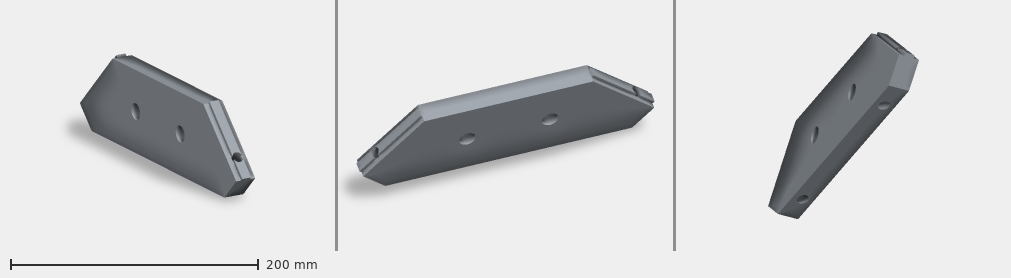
import cadquery as cq
import math

overall_length = 249.2
thickness = 18.0
plate_height = 70.3
slope_run = 51.5
ridge_offset = 1.7
ridge_width = 8.5

main_hole_diameter = 14.0
main_hole_spacing = 69.8
slope_hole_diameter = 9.0
slope_hole_distance = 20.0

half_length = overall_length / 2 - ridge_offset
tip_height = plate_height - slope_run
bottom_half = half_length - tip_height
top_half = half_length - slope_run


def make_plate():
    outline = [
        (-bottom_half, 0),
        (bottom_half, 0),
        (half_length, tip_height),
        (top_half, plate_height),
        (-top_half, plate_height),
        (-half_length, tip_height),
    ]
    return cq.Workplane("XZ").polyline(outline).close().extrude(thickness / 2, both=True)


def make_ridge(side):
    """Raised strip along the whole slope, centred in the thickness."""
    outline = [
        (side * half_length, tip_height),
        (side * (half_length + ridge_offset), tip_height + ridge_offset),
        (side * (top_half + ridge_offset), plate_height + ridge_offset),
        (side * top_half, plate_height),
    ]
    return cq.Workplane("XZ").polyline(outline).close().extrude(ridge_width / 2, both=True)


def make_slope_hole(side):
    """Cylinder square to the slope, running through to the bottom face."""
    step = slope_hole_distance * math.cos(math.radians(45))
    start_x = side * (half_length + ridge_offset - step)
    start_z = tip_height + ridge_offset + step
    start = cq.Vector(start_x, 0, start_z)
    cylinder = cq.Solid.makeCylinder(
        slope_hole_diameter / 2, 2 * plate_height, start, cq.Vector(-side, 0, -1)
    )
    return cq.Workplane(cylinder)


main_holes = (
    cq.Workplane("XZ", origin=(0, 0, plate_height / 2))
    .pushPoints([(-main_hole_spacing / 2, 0), (main_hole_spacing / 2, 0)])
    .circle(main_hole_diameter / 2)
    .extrude(thickness, both=True)
)

result = make_plate().cut(main_holes)
for side in (-1, 1):
    result = result.union(make_ridge(side))
    result = result.cut(make_slope_hole(side))